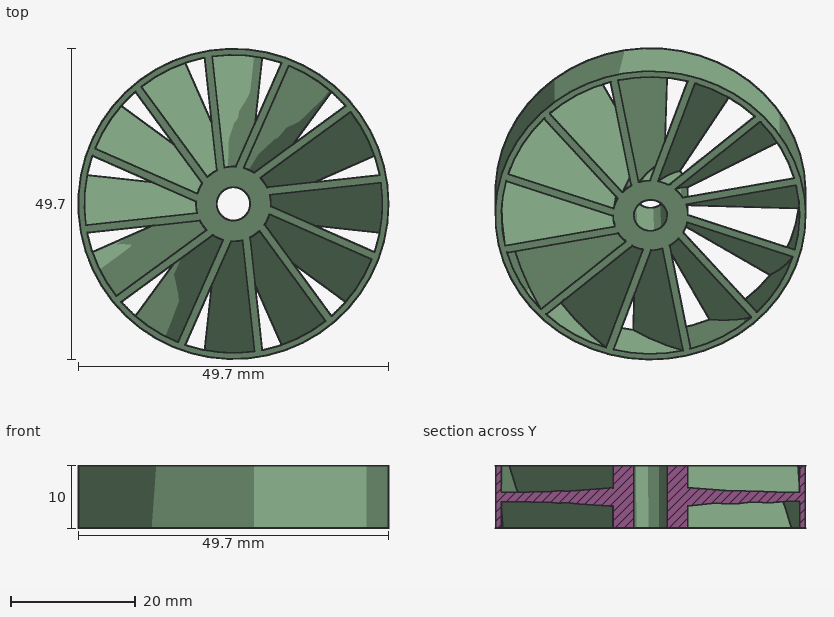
import cadquery as cq

height = 10.0
rim_diameter = 49.7
rim_wall = 1.0
hub_diameter = 12.0
bore_diameter = 5.3

blade_count = 12
blade_pitch = 360.0 / blade_count
blade_thickness = 1.25
blade_lean = 6.2
blade_offset = 1.45
blade_tip = 24.3
blade_root = 4.0


def ring(outer_diameter, inner_diameter):
    """Full-height ring around the wheel axis."""
    return cq.Workplane("XY").circle(outer_diameter / 2).circle(inner_diameter / 2).extrude(height)


def bar_outline(level, side):
    """Bar wire at height `level`, leaning and offset towards `side` (+1 or -1 in Y)."""
    bar_length = blade_tip - blade_root
    plane = cq.Plane(origin=(0, 0, level)).rotated((0, 0, side * blade_lean))
    sketch = cq.Workplane(plane).center((blade_tip + blade_root) / 2, side * blade_offset)
    return sketch.rect(bar_length, blade_thickness).wires().val()


def blade():
    """Twisted blade along +X, ruled between its bottom and top bars."""
    return cq.Solid.makeLoft([bar_outline(0, -1), bar_outline(height, 1)], True)


wheel = ring(rim_diameter, rim_diameter - 2 * rim_wall)
wheel = wheel.union(ring(hub_diameter, bore_diameter))
axis_start = cq.Vector(0, 0, 0)
axis_end = cq.Vector(0, 0, 1)
base_blade = blade()
for index in range(blade_count):
    wheel = wheel.union(base_blade.rotate(axis_start, axis_end, index * blade_pitch))

result = wheel